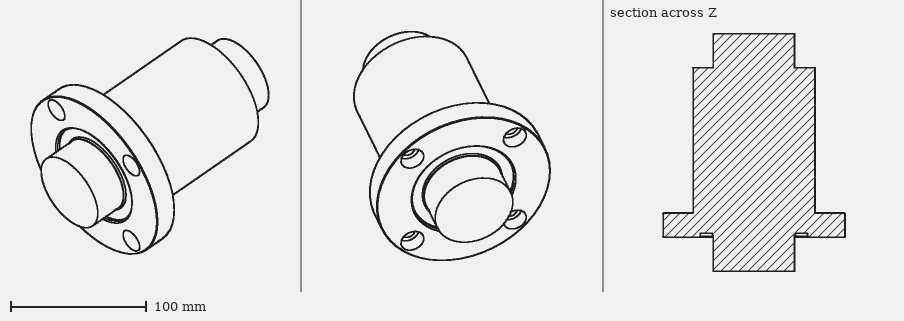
import cadquery as cq


shaft_length = 175.0
shaft_diameter = 60.0

shaft_overhang = 25.0
body_diameter = 90.0
body_length = shaft_length - 2 * shaft_overhang

flange_diameter = 134.0
flange_thickness = 18.0
flange_chamfer = 0.5

screw_circle_diameter = 112.0
screw_count = 4
screw_hole_diameter = 11.0
counterbore_diameter = 17.5
counterbore_depth = 11.0

recess_diameter = 78.8
recess_depth = 3.0
recess_chamfer = 1.0

lip_base_diameter = 62.0
lip_tip_diameter = 60.9
lip_height = 1.8

front_face_y = shaft_overhang - shaft_length / 2
recess_floor_y = front_face_y + recess_depth


def plane_at(y):
    """Plane across the axis at y, with its normal along +Y and local Y along -Z."""
    return cq.Workplane(cq.Plane(origin=(0, y, 0), xDir=(1, 0, 0), normal=(0, 1, 0)))


def cylinder(y, diameter, length):
    """Cylinder on the axis, from y towards +Y."""
    return plane_at(y).circle(diameter / 2).extrude(length)


def screw_cylinders(diameter, length):
    """One cylinder per screw, from the front face towards +Y."""
    first_angle = 180 / screw_count
    return (
        plane_at(front_face_y)
        .polarArray(screw_circle_diameter / 2, first_angle, 360, screw_count)
        .circle(diameter / 2)
        .extrude(length)
    )


def make_housing():
    """Bearing body with its flange and screw holes."""
    body = cylinder(front_face_y, body_diameter, body_length)
    flange = cylinder(front_face_y, flange_diameter, flange_thickness)
    flange = flange.faces("<Y or >Y").edges().chamfer(flange_chamfer)
    housing = body.union(flange)
    housing = housing.cut(screw_cylinders(screw_hole_diameter, flange_thickness))
    return housing.cut(screw_cylinders(counterbore_diameter, counterbore_depth))


def make_seal_recess():
    """Space removed at the front end: a shallow round recess with a chamfered rim."""
    recess_radius = recess_diameter / 2
    half_section = (
        cq.Workplane("XY")
        .moveTo(0, front_face_y)
        .lineTo(recess_radius + recess_chamfer, front_face_y)
        .lineTo(recess_radius, front_face_y + recess_chamfer)
        .lineTo(recess_radius, recess_floor_y)
        .lineTo(0, recess_floor_y)
        .close()
    )
    return half_section.revolve(360, (0, 0, 0), (0, 1, 0))


def make_seal_lip():
    """Cone frustum around the shaft, narrowing towards -Y."""
    return (
        plane_at(recess_floor_y)
        .circle(lip_base_diameter / 2)
        .workplane(offset=-lip_height)
        .circle(lip_tip_diameter / 2)
        .loft(ruled=True)
    )


shaft = cylinder(-shaft_length / 2, shaft_diameter, shaft_length)
result = make_housing().cut(make_seal_recess()).union(make_seal_lip()).union(shaft)